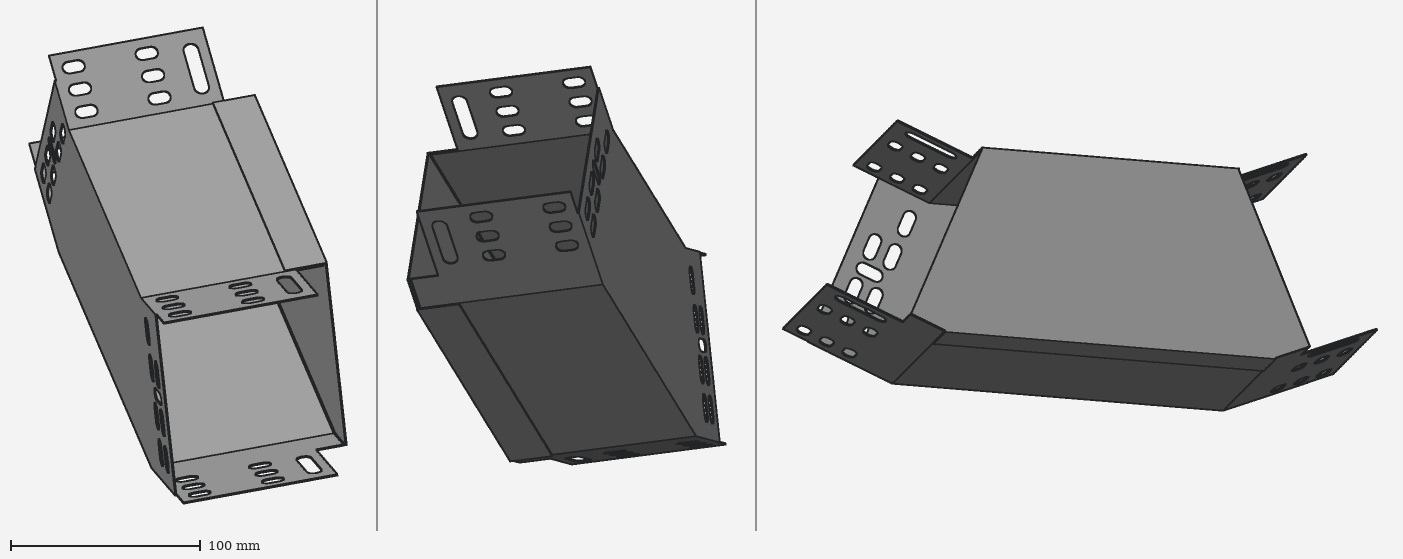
import cadquery as cq
import math


sheet = 0.8
inner_height = 100.0
overall_length = 301.66
overall_depth = 101.8
bend_angle = 22.5

flange_reach = 45.0
web_reach = 30.0

tray_depth = 100.0
flange_depth = 85.0
lip_depth = 23.0

slot_width = 7.0
web_slot_length = 15.0
web_slot_columns = {6.5: (-34.0, -13.5, 13.5, 34.0), 18.5: (-34.0, -13.5, 13.5)}
web_cross_slot_reach = 14.5
flange_slot_length = 12.0
flange_slot_reaches = (9.0, 22.5, 36.0)
flange_slot_depths = (12.0, 52.0)
long_slot_length = 30.0
long_slot_width = 8.0
long_slot_reach = 22.0
long_slot_depth = 75.5

tilt = math.radians(bend_angle)
tray_height = inner_height + 2 * sheet
joint_run = tray_height * math.tan(tilt / 2)
sheet_miter = sheet * math.tan(tilt / 2)
floor_reach = joint_run + flange_reach
floor_half = overall_length / 2 - floor_reach * math.cos(tilt)
roof_half = floor_half - joint_run
cut_length = tray_height + 2 * sheet


def end_point(reach, height):
    """XZ point of the +X end: reach beyond the joint line, height above the tilted floor."""
    along = joint_run + reach
    x = floor_half + along * math.cos(tilt) - height * math.sin(tilt)
    z = along * math.sin(tilt) + height * math.cos(tilt)
    return (x, z)


def symmetric_plate(right_points, y_start, y_end):
    """Plate between two Y values; its outline is the +X half from bottom to top plus its mirror."""
    left_points = [(-x, z) for x, z in reversed(right_points)]
    outline = cq.Workplane("XZ", origin=(0, y_start, 0)).polyline(right_points + left_points).close()
    return outline.extrude(y_start - y_end)


def end_frame(reach, height, depth):
    """Workplane frame on the +X end: local x along the end, normal square to the floor."""
    x, z = end_point(reach, height)
    along = (math.cos(tilt), 0, math.sin(tilt))
    upward = (-math.sin(tilt), 0, math.cos(tilt))
    return cq.Plane(origin=(x, depth, z), xDir=along, normal=upward)


def cut_both_ends(body, cutter):
    return body.cut(cutter).cut(cutter.mirror("YZ"))


def floor_sheet():
    points = [
        (floor_half, 0),
        end_point(flange_reach, 0),
        end_point(flange_reach, sheet),
        (floor_half - sheet_miter, sheet),
    ]
    return symmetric_plate(points, sheet, tray_depth)


def roof_sheet():
    points = [
        (roof_half + sheet_miter, tray_height - sheet),
        end_point(flange_reach, tray_height - sheet),
        end_point(flange_reach, tray_height),
        (roof_half, tray_height),
    ]
    return symmetric_plate(points, sheet, tray_depth)


def web_sheet():
    points = [
        (floor_half, 0),
        end_point(web_reach, 0),
        end_point(web_reach, tray_height),
        (roof_half, tray_height),
    ]
    return symmetric_plate(points, 0, sheet)


def flange_relief():
    """Block that narrows the floor and roof of the +X end beyond the joint line."""
    frame = end_frame(0, -sheet, flange_depth)
    block = cq.Workplane(frame).rect(2 * flange_reach, overall_depth - flange_depth, centered=False)
    return block.extrude(cut_length)


def flange_slots():
    """Cutters for the slots through both flanges of the +X end."""
    centres = [(reach, depth) for reach in flange_slot_reaches for depth in flange_slot_depths]
    frame = cq.Workplane(end_frame(0, -sheet, 0))
    short_slots = frame.pushPoints(centres).slot2D(flange_slot_length, slot_width, 90).extrude(cut_length)
    long_slot = frame.center(long_slot_reach, long_slot_depth).slot2D(long_slot_length, long_slot_width)
    return short_slots.union(long_slot.extrude(cut_length))


def web_slots():
    """Cutters for the slots through the web of the +X end, spread about its mid height."""
    x, z = end_point(0, tray_height / 2)
    along = (math.cos(tilt), 0, math.sin(tilt))
    frame = cq.Workplane(cq.Plane(origin=(x, 2 * sheet, z), xDir=along, normal=(0, -1, 0)))
    upright = [(reach, height) for reach, heights in web_slot_columns.items() for height in heights]
    cutters = frame.pushPoints(upright).slot2D(web_slot_length, slot_width, 90).extrude(3 * sheet)
    cross_slot = frame.center(web_cross_slot_reach, 0).slot2D(web_slot_length, slot_width)
    return cutters.union(cross_slot.extrude(3 * sheet))


def build_tray():
    tray = web_sheet().union(floor_sheet()).union(roof_sheet())
    for cutter in (flange_relief(), flange_slots(), web_slots()):
        tray = cut_both_ends(tray, cutter)
    return tray


def lid_lip(half_length, z_start):
    """Flat lip of the lid, lying on the roof or under the floor."""
    lip = cq.Workplane("XY", origin=(0, overall_depth - lip_depth / 2, z_start + sheet / 2))
    return lip.box(2 * half_length, lip_depth, sheet)


def build_lid():
    panel_points = [
        (floor_half, -sheet),
        (floor_half, 0),
        end_point(0, 0),
        (roof_half, tray_height),
        (roof_half, tray_height + sheet),
    ]
    lid = symmetric_plate(panel_points, overall_depth - sheet, overall_depth)
    return lid.union(lid_lip(floor_half, -sheet)).union(lid_lip(roof_half, tray_height))


tray = build_tray().solids()
lid = build_lid().solids()
result = cq.Compound.makeCompound([tray.val(), lid.val()])